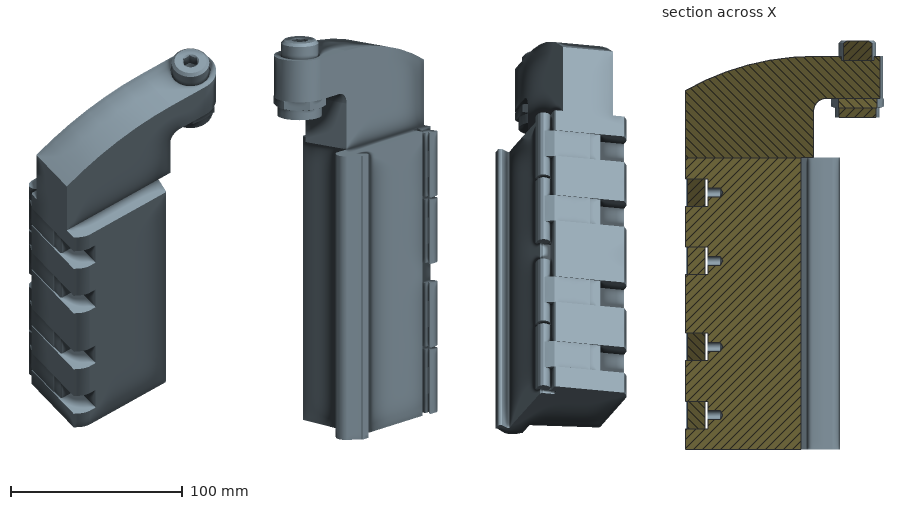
import cadquery as cq
import math


housing_height = 169.7
arm_top = 229.0
total_height = 238.0

arm_width = 30.0
arm_end_radius = arm_width / 2
leg_depth = 74.7
arch_depth = 75.5
arm_front_top = 209.0
lug_underside = 204.2
inner_fillet = 7.1
head_recess_diameter = 23.3
head_recess_depth = 2.4
screw_y = 100.2

head_diameter = 22.0
head_chamfer = 1.7
shank_diameter = 12.0
socket_flats = 8.0
socket_mouth_diameter = 10.0
socket_depth = 7.1
drill_tip_half_angle = math.radians(60)
nut_flats = 26.7
nut_height = 5.5
nut_chamfer_height = 0.7
disc_diameter = 26.0
disc_height = 5.7

plate_left = -24.8
plate_right = -arm_width / 2
hook_left = -32.4
hook_top = 90.0
housing_right = 25.5
lip_left = -20.2
lip_chamfer = 0.7
lip_round = 1.5
lip_top = 9.5
channel_right = -16.5
channel_top = 13.5
groove_left = -17.5
groove_bottom = 8.3

slot_height = 15.7
slot_depth = 13.0
slot_offsets = (25.0, 64.7)
spring_hole_diameter = 5.0
spring_hole_depth = 7.1
spring_hole_x = 7.1

clip_length = 38.0
clip_left = -28.5
clip_right = -21.0
clip_top = 11.7
clip_front = 2.9
clip_keel_x = -25.5
clip_tip_bevel = 0.7
clip_notch_bottom = 8.5
tongue_recess = 0.5
tongue_step = 0.5
tongue_step_x = 1.5
tongue_end = 8.0
tongue_end_chamfer = 0.7

head_seat = arm_top - head_recess_depth
nut_bottom = lug_underside - nut_height
mid_height = housing_height / 2
slot_centres = [mid_height + side * offset for offset in slot_offsets for side in (-1, 1)]


def hexagon(flats):
    """Hexagon with two corners on the Y axis."""
    corner_radius = flats / math.sqrt(3)
    corners = []
    for i in range(6):
        angle = math.pi / 6 + i * math.pi / 3
        corners.append((corner_radius * math.cos(angle), corner_radius * math.sin(angle)))
    return corners


def drilled_hole(diameter, depth, axis_point, direction):
    """Cutter for a round blind hole that ends in a drill tip."""
    radius = diameter / 2
    tip_depth = radius / math.tan(drill_tip_half_angle)
    start = cq.Vector(*axis_point)
    way = cq.Vector(*direction)
    bore = cq.Solid.makeCylinder(radius, depth, start, way)
    tip = cq.Solid.makeCone(radius, 0, tip_depth, start + way * depth, way)
    return cq.Workplane(bore).union(cq.Workplane(tip))


def housing_outline():
    """Closed outline in XY, from the front of the lip round the right side and the rail hook."""
    return (
        cq.Workplane("XY")
        .moveTo(lip_left + lip_chamfer, 0)
        .lineTo(22.0, 0)
        .lineTo(22.5, 1.5)
        .threePointArc((24.5, 4.8), (housing_right, 8.5))
        .lineTo(housing_right, 63.0)
        .threePointArc((25.0, 64.0), (24.0, 64.5))
        .lineTo(plate_right, 71.5)
        .lineTo(plate_right, 85.7)
        .lineTo(-18.3, 89.0)
        .threePointArc((-21.5, hook_top), (-25.5, 88.5))
        .lineTo(-31.5, 82.3)
        .lineTo(hook_left, 82.3)
        .lineTo(hook_left, 76.6)
        .lineTo(-31.2, 76.0)
        .lineTo(-30.2, 76.0)
        .lineTo(-25.7, 80.0)
        .lineTo(plate_left, 80.0)
        .lineTo(plate_left - 0.2, 70.7)
        .lineTo(plate_left, 14.5)
        .lineTo(-23.3, channel_top)
        .lineTo(channel_right, channel_top)
        .lineTo(channel_right, groove_bottom)
        .lineTo(groove_left, groove_bottom)
        .lineTo(groove_left, lip_top)
        .lineTo(lip_left + lip_round, lip_top)
        .radiusArc((lip_left, lip_top - lip_round), -lip_round)
        .lineTo(lip_left, lip_chamfer)
        .close()
    )


def make_housing():
    housing = housing_outline().extrude(housing_height)
    slot_width = 2 * max(housing_right, -hook_left)
    for z in slot_centres:
        slot = cq.Workplane("XY").box(slot_width, 2 * slot_depth, slot_height).translate((0, 0, z))
        hole_start = (spring_hole_x, slot_depth, z)
        hole = drilled_hole(spring_hole_diameter, spring_hole_depth, hole_start, (0, 1, 0))
        housing = housing.cut(slot).cut(hole)
    return housing


def clip_hook_outline():
    """Hook that grips the rail, with a foot that reaches into the channel."""
    return (
        cq.Workplane("XY")
        .moveTo(clip_left, clip_top - clip_tip_bevel)
        .lineTo(clip_left + clip_tip_bevel, clip_top)
        .lineTo(plate_left, clip_notch_bottom)
        .lineTo(plate_left, clip_top)
        .lineTo(channel_right, clip_top)
        .lineTo(channel_right, groove_bottom)
        .lineTo(groove_left, groove_bottom)
        .lineTo(groove_left, lip_top)
        .lineTo(clip_right, lip_top)
        .threePointArc((-22.0, 4.8), (clip_keel_x, clip_front))
        .lineTo(-26.2, clip_front)
        .lineTo(-27.5, 3.8)
        .lineTo(clip_left, 6.2)
        .close()
    )


def tongue_outline():
    """Flat tongue that fills the left part of a slot."""
    return (
        cq.Workplane("XY")
        .moveTo(clip_keel_x, clip_front)
        .lineTo(lip_left, tongue_recess)
        .lineTo(tongue_step_x, tongue_recess)
        .lineTo(tongue_step_x, tongue_recess + tongue_step)
        .lineTo(tongue_end - tongue_end_chamfer, tongue_recess + tongue_step)
        .lineTo(tongue_end, tongue_recess + tongue_step + tongue_end_chamfer)
        .lineTo(tongue_end, clip_top)
        .lineTo(plate_left, clip_top)
        .close()
    )


def make_clip(z):
    """One clip, with its tongue centred at height z."""
    hook = clip_hook_outline().extrude(clip_length / 2, both=True)
    tongue = tongue_outline().extrude(slot_height / 2, both=True)
    return hook.union(tongue).translate((0, 0, z))


def make_arm():
    arch_drop = arm_top - arm_front_top
    arch_radius = (arch_depth**2 + arch_drop**2) / (2 * arch_drop)
    arch_mid_y = arch_depth / 2
    arch_mid_z = arm_top - arch_radius + math.sqrt(arch_radius**2 - (arch_depth - arch_mid_y) ** 2)
    arm_end = screw_y + arm_end_radius
    side = (
        cq.Workplane("YZ")
        .moveTo(0, housing_height)
        .lineTo(leg_depth, housing_height)
        .lineTo(leg_depth, lug_underside - inner_fillet)
        .radiusArc((leg_depth + inner_fillet, lug_underside), inner_fillet)
        .lineTo(arm_end, lug_underside)
        .lineTo(arm_end, arm_top)
        .lineTo(arch_depth, arm_top)
        .threePointArc((arch_mid_y, arch_mid_z), (0, arm_front_top))
        .close()
        .extrude(arm_end_radius, both=True)
    )
    plan = (
        cq.Workplane("XY")
        .moveTo(-arm_end_radius, 0)
        .lineTo(arm_end_radius, 0)
        .lineTo(arm_end_radius, screw_y)
        .threePointArc((0, arm_end), (-arm_end_radius, screw_y))
        .close()
        .extrude(total_height)
    )
    bore = cq.Workplane("XY").center(0, screw_y).circle(shank_diameter / 2).extrude(total_height)
    recess = (
        cq.Workplane("XY", origin=(0, screw_y, head_seat))
        .circle(head_recess_diameter / 2)
        .extrude(head_recess_depth)
    )
    return side.intersect(plan).cut(bore).cut(recess)


def make_screw():
    """Socket head screw that ends level with the underside of the nut."""
    head = (
        cq.Workplane("XY", origin=(0, screw_y, head_seat))
        .circle(head_diameter / 2)
        .extrude(total_height - head_seat)
        .faces(">Z")
        .chamfer(head_chamfer)
    )
    shank = (
        cq.Workplane("XY", origin=(0, screw_y, nut_bottom))
        .circle(shank_diameter / 2)
        .extrude(head_seat - nut_bottom)
    )
    socket = (
        cq.Workplane("XY", origin=(0, screw_y, total_height))
        .polyline(hexagon(socket_flats))
        .close()
        .extrude(-socket_depth)
    )
    mouth_depth = (socket_mouth_diameter - socket_flats) / 2
    mouth = cq.Workplane(
        cq.Solid.makeCone(
            socket_flats / 2,
            socket_mouth_diameter / 2,
            mouth_depth,
            cq.Vector(0, screw_y, total_height - mouth_depth),
        )
    )
    drill = drilled_hole(socket_flats, socket_depth, (0, screw_y, total_height), (0, 0, -1))
    return head.union(shank).cut(socket).cut(mouth).cut(drill)


def make_nut():
    """Hexagon nut under the lug, with its lower corners turned to a cone."""
    corner_radius = nut_flats / math.sqrt(3)
    prism = cq.Workplane("XY").polyline(hexagon(nut_flats)).close().extrude(nut_height)
    turned = (
        cq.Workplane("XZ")
        .moveTo(0, 0)
        .lineTo(nut_flats / 2, 0)
        .lineTo(corner_radius, nut_chamfer_height)
        .lineTo(corner_radius, nut_height)
        .lineTo(0, nut_height)
        .close()
        .revolve(360, (0, 0, 0), (0, 1, 0))
    )
    bore = cq.Workplane("XY").circle(shank_diameter / 2).extrude(nut_height)
    return prism.intersect(turned).cut(bore).translate((0, screw_y, nut_bottom))


def make_disc():
    """Round foot disc under the nut."""
    disc_bottom = nut_bottom - disc_height
    return (
        cq.Workplane("XY", origin=(0, screw_y, disc_bottom))
        .circle(disc_diameter / 2)
        .extrude(disc_height)
    )


housing = make_housing()
arm = make_arm()
screw = make_screw()
nut = make_nut()
disc = make_disc()
clips = [make_clip(z) for z in slot_centres]

result = cq.Compound.makeCompound(
    [housing.val(), arm.val(), screw.val(), nut.val(), disc.val(), *[clip.val() for clip in clips]]
)